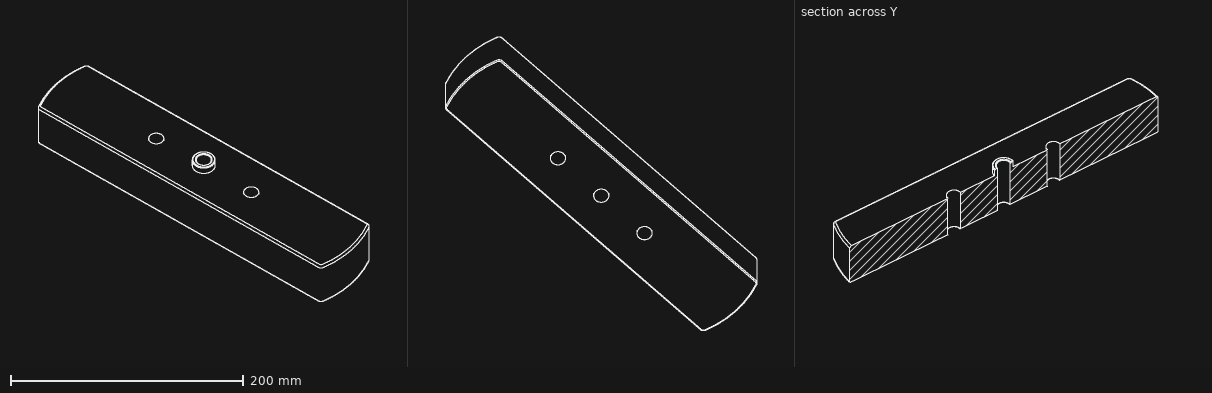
import cadquery as cq

length = 325.0
width = 68.0
total_height = 51.0
boss_height = 7.0
body_height = total_height - boss_height
end_bow = 6.5
corner_radius = 4.0
top_chamfer = 2.0
bottom_chamfer = 1.0

boss_diameter = 19.8
boss_chamfer = 0.5
hole_diameter = 13.0
hole_spacing = 52.3


def make_body():
    """Bar with bowed ends, rounded corners and chamfered top and bottom rims."""
    half_length = length / 2
    half_width = width / 2
    corner_x = half_length - end_bow
    body = (
        cq.Workplane("XY")
        .moveTo(-corner_x, -half_width)
        .lineTo(corner_x, -half_width)
        .threePointArc((half_length, 0), (corner_x, half_width))
        .lineTo(-corner_x, half_width)
        .threePointArc((-half_length, 0), (-corner_x, -half_width))
        .close()
        .extrude(body_height)
    )
    body = body.edges("|Z").fillet(corner_radius)
    body = body.faces(">Z").chamfer(top_chamfer)
    return body.faces("<Z").chamfer(bottom_chamfer)


def make_boss():
    """Round boss running from the underside of the bar to above its top face."""
    return cq.Workplane("XY").circle(boss_diameter / 2).extrude(total_height)


def make_holes():
    """Three equal through holes in a row along the length."""
    centres = [(-hole_spacing, 0), (0, 0), (hole_spacing, 0)]
    return cq.Workplane("XY").pushPoints(centres).circle(hole_diameter / 2).extrude(total_height)


part = make_body().union(make_boss()).cut(make_holes())
result = part.faces(">Z").chamfer(boss_chamfer)